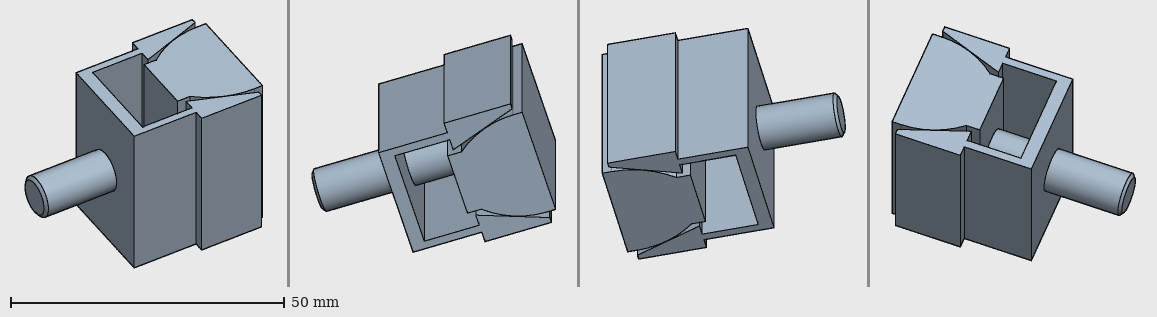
import cadquery as cq
import math

total_length = 42.5
height = 31.7

wedge_half_width = 10.15
neck_half_width = 6.0
wedge_length = 15.6
neck_length = 2.65
straight_side_length = 1.75

clip_half_width = 24.8 / 2
wall_half_width = 10.4
wall_thickness = 1.5
floor_thickness = 2.65
clip_front = 15.05
barb_length = 12.75
barb_tip_setback = 1.55
barb_tip_width = 1.0
barb_base_width = 5.55

pin_diameter = 8.15
pin_chamfer_length = 0.55
pin_chamfer_width = 0.7

wedge_front = total_length - wedge_length
neck_end = wedge_front + neck_length
arc_start = total_length - straight_side_length
barb_tip = total_length - barb_tip_setback
barb_base = barb_tip - barb_length
floor_back = clip_front + floor_thickness


def make_wedge():
    """Block whose flanks curve in to a narrow neck, tangent to the straight sides."""
    arc_width = wedge_half_width - neck_half_width
    arc_length = arc_start - neck_end
    radius = (arc_width**2 + arc_length**2) / (2 * arc_width)
    half_angle = math.asin(arc_length / radius) / 2
    arc_mid_x = wedge_half_width - radius * (1 - math.cos(half_angle))
    arc_mid_y = arc_start - radius * math.sin(half_angle)
    return (
        cq.Workplane("XY")
        .moveTo(-wedge_half_width, total_length)
        .lineTo(wedge_half_width, total_length)
        .lineTo(wedge_half_width, arc_start)
        .threePointArc((arc_mid_x, arc_mid_y), (neck_half_width, neck_end))
        .lineTo(neck_half_width, wedge_front)
        .lineTo(-neck_half_width, wedge_front)
        .lineTo(-neck_half_width, neck_end)
        .threePointArc((-arc_mid_x, arc_mid_y), (-wedge_half_width, arc_start))
        .close()
        .extrude(height)
    )


def make_clip():
    """U-shaped channel with a tapered barb on each arm and a pin hole in its floor."""
    wall_inner = wall_half_width - wall_thickness
    right_side = [
        (wall_half_width, clip_front),
        (wall_half_width, barb_base),
        (clip_half_width, barb_base),
        (clip_half_width, barb_tip),
        (clip_half_width - barb_tip_width, barb_tip),
        (clip_half_width - barb_base_width, barb_base),
        (wall_inner, barb_base),
        (wall_inner, floor_back),
    ]
    left_side = [(-x, y) for x, y in reversed(right_side)]
    channel = cq.Workplane("XY").polyline(right_side + left_side).close().extrude(height)
    pin_hole = (
        cq.Workplane("XZ", origin=(0, clip_front, height / 2))
        .circle(pin_diameter / 2)
        .extrude(-floor_thickness)
    )
    return channel.cut(pin_hole)


def make_pin():
    """Round pin from the chamfered free end to the face of the wedge."""
    radius = pin_diameter / 2
    return (
        cq.Workplane("XY", origin=(0, 0, height / 2))
        .polyline([
            (0, 0),
            (radius - pin_chamfer_width, 0),
            (radius, pin_chamfer_length),
            (radius, wedge_front),
            (0, wedge_front),
        ])
        .close()
        .revolve(360, (0, 0, 0), (0, 1, 0))
    )


wedge = make_wedge()
clip = make_clip()
pin = make_pin()

result = cq.Compound.makeCompound([wedge.val(), clip.val(), pin.val()])